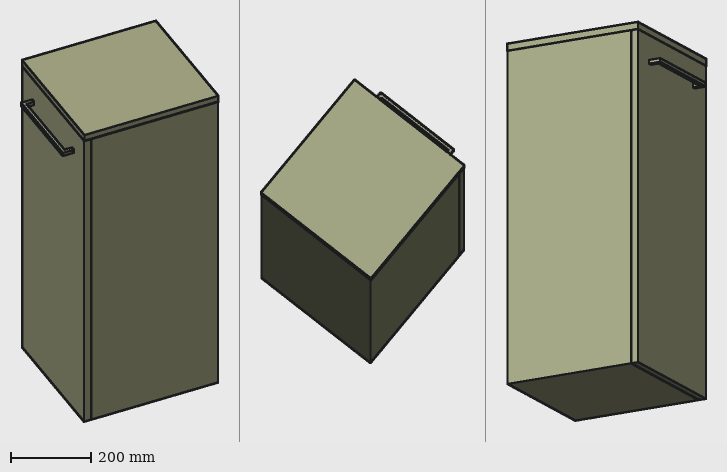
import cadquery as cq

TOP_WIDTH = 352.0
TOTAL_DEPTH = 404.0
TOTAL_HEIGHT = 890.0

PANEL_THICKNESS = 19.0
TOP_OVERHANG = 2.0
DOOR_GAP = 2.0

HANDLE_PROJECTION = 31.0
HANDLE_LENGTH = 235.0
HANDLE_HEIGHT = 10.0
HANDLE_BAR_DEPTH = 10.0
HANDLE_LEG_WIDTH = 11.0
HANDLE_BELOW_TOP = 84.0
SCREW_HOLE_DIAMETER = 4.0
SCREW_HOLE_DEPTH = 4.5

cabinet_depth = TOTAL_DEPTH - HANDLE_PROJECTION
body_height = TOTAL_HEIGHT - PANEL_THICKNESS
body_width = TOP_WIDTH - 2 * TOP_OVERHANG
carcass_front = PANEL_THICKNESS + DOOR_GAP
handle_bottom = TOTAL_HEIGHT - HANDLE_BELOW_TOP - HANDLE_HEIGHT
handle_middle = handle_bottom + HANDLE_HEIGHT / 2
leg_centre = (HANDLE_LENGTH - HANDLE_LEG_WIDTH) / 2


def centred_block(width, depth, height, front, bottom):
    """Box centred on X, extending back from its front face and up from its bottom face."""
    return cq.Workplane("XY").box(width, depth, height, centered=(True, False, False)).translate(
        (0, front, bottom)
    )


def make_carcass():
    """Plain block standing behind the door."""
    return centred_block(body_width, cabinet_depth - carcass_front, body_height, carcass_front, 0)


def make_door():
    """Full-height front panel, whose front face is at Y = 0."""
    return centred_block(body_width, PANEL_THICKNESS, body_height, 0, 0)


def make_top():
    """Top panel covering carcass and door, with a small overhang at each side."""
    return centred_block(TOP_WIDTH, cabinet_depth, PANEL_THICKNESS, 0, body_height)


def make_handle():
    """U-shaped handle: a bar with a leg at each end, with a blind screw hole in its rear face."""
    outline = centred_block(
        HANDLE_LENGTH, HANDLE_PROJECTION, HANDLE_HEIGHT, -HANDLE_PROJECTION, handle_bottom
    )
    finger_space = centred_block(
        HANDLE_LENGTH - 2 * HANDLE_LEG_WIDTH,
        HANDLE_PROJECTION - HANDLE_BAR_DEPTH,
        HANDLE_HEIGHT,
        HANDLE_BAR_DEPTH - HANDLE_PROJECTION,
        handle_bottom,
    )
    screw_holes = (
        cq.Workplane("XZ")
        .pushPoints([(side * leg_centre, handle_middle) for side in (-1, 1)])
        .circle(SCREW_HOLE_DIAMETER / 2)
        .extrude(SCREW_HOLE_DEPTH)
    )
    return outline.cut(finger_space).cut(screw_holes)


carcass = make_carcass()
door = make_door()
top = make_top()
handle = make_handle()

result = cq.Compound.makeCompound([carcass.val(), door.val(), top.val(), handle.val()])